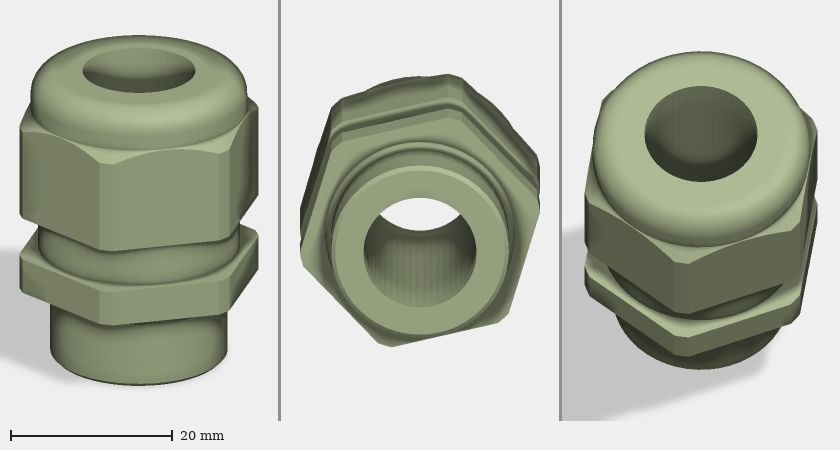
import cadquery as cq
import math


RING_BOTTOM = 8.6
LOWER_HEX_BOTTOM = 10.0
LOWER_HEX_TOP = 14.5
CAP_HEX_BOTTOM = 20.0
CAP_HEX_TOP = 33.0
TOTAL_HEIGHT = 38.0

HEX_SIDES = 6
ACROSS_FLATS = 27.0
CORNER_DIAMETER = 30.2
STUB_DIAMETER = 22.0
RING_DIAMETER = 23.5
NECK_DIAMETER = 25.0
DOME_DIAMETER = 26.85
BORE_DIAMETER = 14.0

STUB_CHAMFER = 0.5
DOME_FILLET = 3.0
CAP_CHAMFER_ANGLE = 38.0


def cylinder(diameter, bottom, top):
    return cq.Workplane("XY").workplane(offset=bottom).circle(diameter / 2).extrude(top - bottom)


def hexagon(bottom, top):
    """Hexagonal prism with flats facing +/-Y and corners rounded to the corner diameter."""
    sharp_diameter = ACROSS_FLATS / math.cos(math.pi / HEX_SIDES)
    prism = cq.Workplane("XY").workplane(offset=bottom).polygon(HEX_SIDES, sharp_diameter).extrude(top - bottom)
    return prism.intersect(cylinder(CORNER_DIAMETER, bottom, top))


def stub():
    return cylinder(STUB_DIAMETER, 0, LOWER_HEX_BOTTOM).faces("<Z").chamfer(STUB_CHAMFER)


def sealing_ring():
    """Ring with a half-round rim, seated under the lower hexagon."""
    rim_radius = (LOWER_HEX_BOTTOM - RING_BOTTOM) / 2
    rim_start = RING_DIAMETER / 2 - rim_radius
    return (
        cq.Workplane("XZ")
        .moveTo(0, RING_BOTTOM)
        .lineTo(rim_start, RING_BOTTOM)
        .threePointArc((RING_DIAMETER / 2, RING_BOTTOM + rim_radius), (rim_start, LOWER_HEX_BOTTOM))
        .lineTo(0, LOWER_HEX_BOTTOM)
        .close()
        .revolve(360, (0, 0, 0), (0, 1, 0))
    )


def cap_hexagon():
    """Cap hexagon whose upper corners are bevelled by a cone starting at the dome's edge."""
    corner_radius = CORNER_DIAMETER / 2
    dome_radius = DOME_DIAMETER / 2
    bevel_drop = (corner_radius - dome_radius) * math.tan(math.radians(CAP_CHAMFER_ANGLE))
    envelope = (
        cq.Workplane("XZ")
        .moveTo(0, CAP_HEX_BOTTOM)
        .lineTo(corner_radius, CAP_HEX_BOTTOM)
        .lineTo(corner_radius, CAP_HEX_TOP - bevel_drop)
        .lineTo(dome_radius, CAP_HEX_TOP)
        .lineTo(0, CAP_HEX_TOP)
        .close()
        .revolve(360, (0, 0, 0), (0, 1, 0))
    )
    return hexagon(CAP_HEX_BOTTOM, CAP_HEX_TOP).intersect(envelope)


def dome():
    return cylinder(DOME_DIAMETER, CAP_HEX_TOP, TOTAL_HEIGHT).faces(">Z").edges().fillet(DOME_FILLET)


body = (
    stub()
    .union(sealing_ring())
    .union(hexagon(LOWER_HEX_BOTTOM, LOWER_HEX_TOP))
    .union(cylinder(NECK_DIAMETER, LOWER_HEX_TOP, CAP_HEX_BOTTOM))
    .union(cap_hexagon())
    .union(dome())
)
result = body.cut(cylinder(BORE_DIAMETER, 0, TOTAL_HEIGHT))